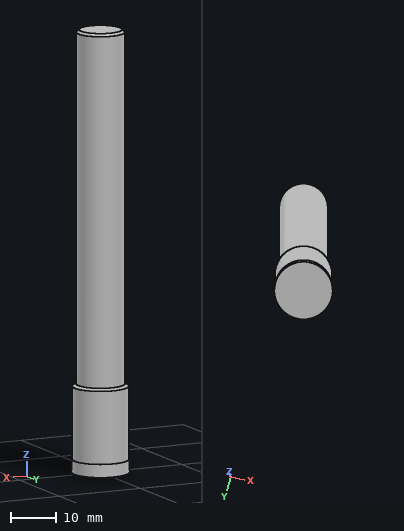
import cadquery as cq

TOTAL_LENGTH = 100.0
TIP_DIAMETER = 13.0

TIP_LENGTH = 3.0

COLLAR_DIAMETER = 12.7
COLLAR_TOP = 20.0
COLLAR_BEVEL_HEIGHT = 0.5
SHANK_DIAMETER = 10.8
SHANK_CHAMFER_WIDTH = 0.6
SHANK_CHAMFER_HEIGHT = 0.6

tip_radius = TIP_DIAMETER / 2
collar_radius = COLLAR_DIAMETER / 2
shank_radius = SHANK_DIAMETER / 2


def revolved(profile):
    """Turn a closed (radius, height) outline about the Z axis."""
    return cq.Workplane("XZ").polyline(profile).close().revolve(360, (0, 0), (0, 1))


def make_tip():
    """Solid conical disc, widest at its bottom face."""
    return revolved([
        (0, 0),
        (tip_radius, 0),
        (collar_radius, TIP_LENGTH),
        (0, TIP_LENGTH),
    ])


def make_holder():
    """Collar seated on the tip, bevelled up to a long shank with a chamfered end."""
    return revolved([
        (0, TIP_LENGTH),
        (collar_radius, TIP_LENGTH),
        (collar_radius, COLLAR_TOP - COLLAR_BEVEL_HEIGHT),
        (shank_radius, COLLAR_TOP),
        (shank_radius, TOTAL_LENGTH - SHANK_CHAMFER_HEIGHT),
        (shank_radius - SHANK_CHAMFER_WIDTH, TOTAL_LENGTH),
        (0, TOTAL_LENGTH),
    ])


tip = make_tip()
holder = make_holder()

result = cq.Compound.makeCompound([tip.val(), holder.val()])